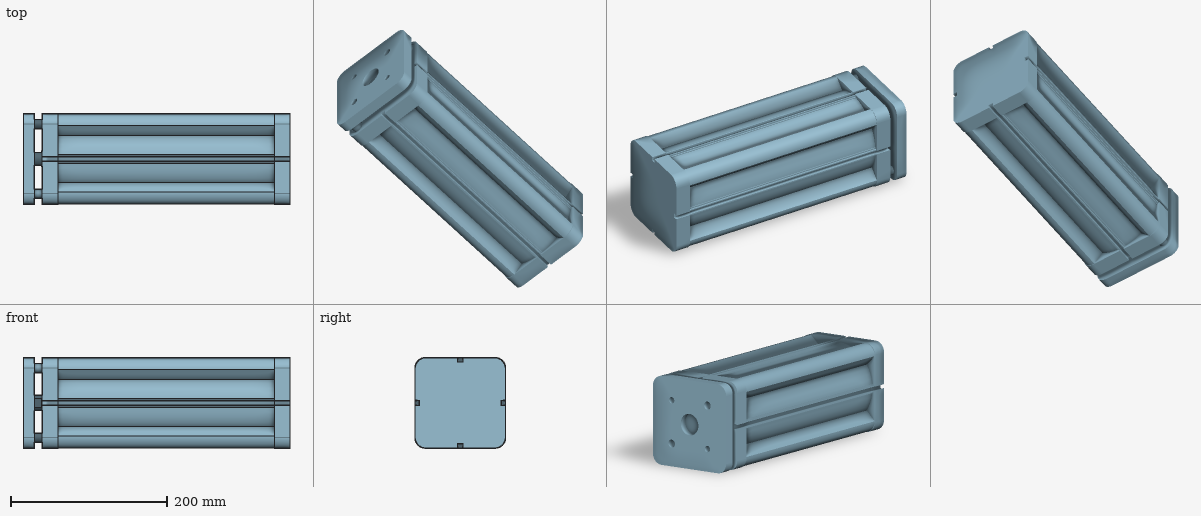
import cadquery as cq
import math

total_length = 341.0
body_width = 116.0
half_width = body_width / 2

plate_thickness = 14.0
plate_gap = 10.0
cap_length = 20.0
housing_start = plate_thickness + plate_gap
barrel_start = housing_start + cap_length
barrel_end = total_length - cap_length

corner_radius = 13.5
guide_offset = half_width - corner_radius
guide_diameter = 12.0
guide_insertion = cap_length
guide_counterbore_diameter = 18.0
guide_counterbore_depth = 1.0

column_radius = 15.4
column_offset = 42.5
column_top = column_offset + column_radius
tube_radius = 54.3
flank_foot = 30.0
rib_half_width = 5.8
rib_ledge_height = 55.0
rib_step_half_width = 4.0
rib_top_height = 57.0

slot_mouth_half_width = 2.6
slot_half_width = 3.3
slot_lip_thickness = 0.8
cap_slot_floor_height = 52.5
barrel_slot_floor_height = 52.0

piston_rod_diameter = 20.0
piston_rod_insertion = cap_length
across_flats = 16.5
collar_length = 1.0
piston_rod_chamfer = 0.5

recess_diameter = 28.0
recess_depth = 10.0
hole_offset = 28.3
large_hole_diameter = 10.5
small_hole_diameter = 8.4


def cylinder_along_x(diameter, start, length, y=0.0, z=0.0):
    return cq.Workplane("YZ", origin=(start, y, z)).circle(diameter / 2).extrude(length)


def rounded_block(start, length):
    block = cq.Workplane("YZ", origin=(start, 0, 0)).rect(body_width, body_width).extrude(length)
    return block.edges("|X").fillet(corner_radius)


def make_plate():
    plate = rounded_block(0, plate_thickness)
    plate = plate.cut(cylinder_along_x(recess_diameter, 0, recess_depth))
    for side in (-1, 1):
        y = side * hole_offset
        plate = plate.cut(cylinder_along_x(large_hole_diameter, 0, plate_thickness, y, -y))
        plate = plate.cut(cylinder_along_x(small_hole_diameter, 0, plate_thickness, y, y))
    return plate


def turned(point, quarter_turns):
    """Rotate a section point clockwise about the cylinder axis."""
    y, z = point
    for _ in range(quarter_turns):
        y, z = z, -y
    return y, z


def tube_height(across):
    return math.sqrt(tube_radius**2 - across**2)


def barrel_section():
    """Section of the barrel: the same side four times, joined by round corner columns."""
    middle = (flank_foot + rib_half_width) / 2
    tube_foot = (flank_foot, tube_height(flank_foot))
    tube_middle = (middle, tube_height(middle))
    tube_top = (rib_half_width, tube_height(rib_half_width))
    rib = [
        (rib_half_width, rib_ledge_height),
        (rib_step_half_width, rib_ledge_height),
        (rib_step_half_width, rib_top_height),
    ]
    column_middle = column_offset + column_radius * math.sqrt(0.5)

    def mirrored(point):
        return -point[0], point[1]

    section = cq.Workplane("YZ", origin=(barrel_start, 0, 0)).moveTo(-column_offset, column_top)
    for turn in range(4):
        section = section.lineTo(*turned(mirrored(tube_foot), turn))
        section = section.threePointArc(turned(mirrored(tube_middle), turn), turned(mirrored(tube_top), turn))
        for point in [mirrored(p) for p in rib] + rib[::-1] + [tube_top]:
            section = section.lineTo(*turned(point, turn))
        section = section.threePointArc(turned(tube_middle, turn), turned(tube_foot, turn))
        section = section.lineTo(*turned((column_offset, column_top), turn))
        section = section.threePointArc(
            turned((column_middle, column_middle), turn),
            turned((column_top, column_offset), turn),
        )
    return section.close()


def cut_slots(body, start, length, mouth_height, floor_height):
    """Cut the T-slot into all four sides of the body."""

    def bar(half_across, top_height):
        blank = cq.Workplane("XY", origin=(start, 0, floor_height))
        return blank.box(length, 2 * half_across, top_height - floor_height, centered=(False, True, False))

    mouth = bar(slot_mouth_half_width, mouth_height)
    undercut = bar(slot_half_width, mouth_height - slot_lip_thickness)
    slot = mouth.union(undercut)
    for turn in range(4):
        body = body.cut(slot.rotate((0, 0, 0), (1, 0, 0), 90 * turn))
    return body


def make_cap(start):
    """End cap with a T-slot in the middle of each side."""
    cap = rounded_block(start, cap_length)
    return cut_slots(cap, start, cap_length, half_width, cap_slot_floor_height)


def make_housing():
    barrel_length = barrel_end - barrel_start
    barrel = barrel_section().extrude(barrel_length)
    barrel = cut_slots(barrel, barrel_start, barrel_length, rib_top_height, barrel_slot_floor_height)
    housing = barrel.union(make_cap(housing_start)).union(make_cap(barrel_end))
    housing = housing.cut(cylinder_along_x(piston_rod_diameter, housing_start, piston_rod_insertion))
    for side in (-1, 1):
        y = side * guide_offset
        housing = housing.cut(cylinder_along_x(guide_diameter, housing_start, guide_insertion, y, -y))
        housing = housing.cut(
            cylinder_along_x(guide_counterbore_diameter, housing_start, guide_counterbore_depth, y, -y)
        )
    return housing


def make_piston_rod():
    length = plate_gap + piston_rod_insertion
    rod = cylinder_along_x(piston_rod_diameter, plate_thickness, length)
    rod = rod.faces("<X").chamfer(piston_rod_chamfer)
    flat_zone = cq.Workplane("XY").box(
        plate_gap - collar_length, body_width, body_width, centered=(False, True, True)
    )
    between_flats = cq.Workplane("XY").box(
        plate_gap - collar_length, across_flats, body_width, centered=(False, True, True)
    )
    waste = flat_zone.cut(between_flats).translate((plate_thickness, 0, 0))
    return rod.cut(waste)


def make_guide_rod(side):
    y = side * guide_offset
    return cylinder_along_x(guide_diameter, plate_thickness, plate_gap + guide_insertion, y, -y)


plate = make_plate()
housing = make_housing()
piston_rod = make_piston_rod()
guide_rods = [make_guide_rod(side) for side in (-1, 1)]

result = cq.Compound.makeCompound(
    [plate.val(), housing.val(), piston_rod.val(), *[rod.val() for rod in guide_rods]]
)